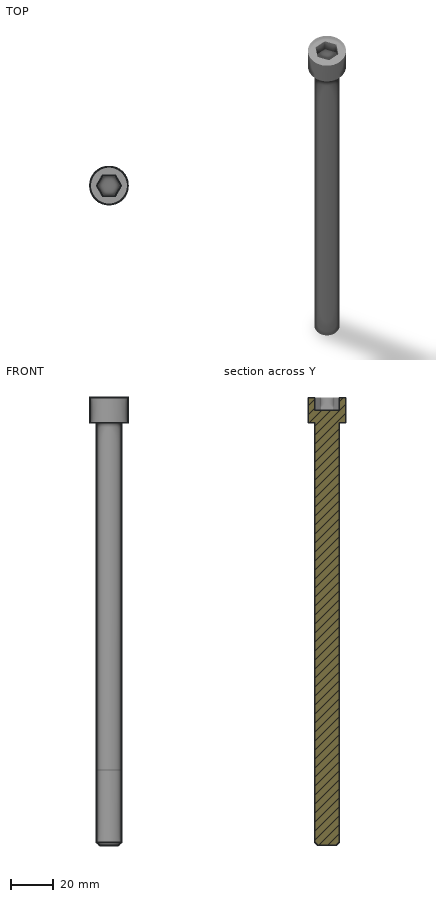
import cadquery as cq
import math

shank_diameter = 12.0
shank_length = 200.0
head_diameter = 1.5 * shank_diameter
head_height = shank_diameter
thread_length = 2 * shank_diameter + 12.0
tip_chamfer = 1.75

socket_across_flats = 10.0
socket_depth = head_height / 2


def make_body():
    """Revolve the half profile of head, shank, threaded length and chamfered tip."""
    head_radius = head_diameter / 2
    shank_radius = shank_diameter / 2
    profile = [
        (0, head_height),
        (head_radius, head_height),
        (head_radius, 0),
        (shank_radius, 0),
        (shank_radius, thread_length - shank_length),
        (shank_radius, tip_chamfer - shank_length),
        (shank_radius - tip_chamfer, -shank_length),
        (0, -shank_length),
    ]
    return cq.Workplane("XZ").polyline(profile).close().revolve(360, (0, 0), (0, 1), clean=False)


def make_socket():
    """Hexagonal key socket, open at the top of the head, with two corners on the X axis."""
    across_corners = socket_across_flats / math.cos(math.radians(30))
    return (
        cq.Workplane("XY")
        .workplane(offset=head_height - socket_depth)
        .polygon(6, across_corners)
        .extrude(socket_depth)
    )


result = make_body().cut(make_socket(), clean=False)